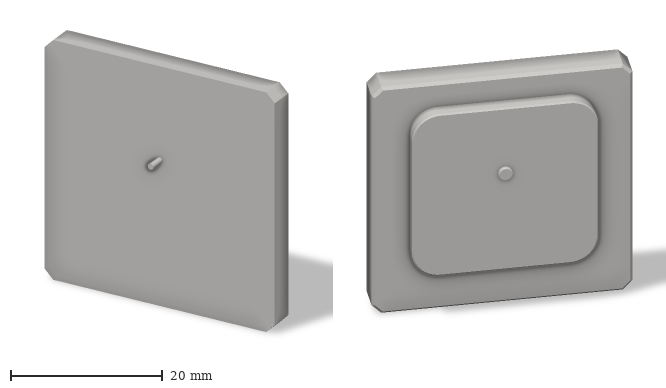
import cadquery as cq

PLATE_SIDE = 35.0
PLATE_THICKNESS = 4.0
PLATE_CORNER_CHAMFER = 1.3
PLATE_BACK_CHAMFER = 0.4

PAD_SIDE = 25.0
PAD_THICKNESS = 2.0
PAD_CORNER_RADIUS = 3.8
PAD_EDGE_CHAMFER = 0.2
PAD_OFFSET_Z = 1.3

PIN_DIAMETER = 0.85
PIN_LENGTH = 2.4
PIN_OFFSET_Z = 3.8
HEAD_DIAMETER = 2.0
HEAD_HEIGHT = 0.5
HEAD_EDGE_FILLET = 0.2

PAD_BACK_Y = PLATE_THICKNESS + PAD_THICKNESS


def plane_facing_back(y, z):
    """Workplane centred at (0, y, z) whose normal points along +Y."""
    return cq.Workplane(cq.Plane(origin=(0, y, z), xDir=(1, 0, 0), normal=(0, 1, 0)))


def make_plate():
    plate = plane_facing_back(0, 0).rect(PLATE_SIDE, PLATE_SIDE).extrude(PLATE_THICKNESS)
    plate = plate.edges("|Y").chamfer(PLATE_CORNER_CHAMFER)
    return plate.faces(">Y").chamfer(PLATE_BACK_CHAMFER)


def make_pad():
    pad = plane_facing_back(PLATE_THICKNESS, PAD_OFFSET_Z).rect(PAD_SIDE, PAD_SIDE).extrude(PAD_THICKNESS)
    pad = pad.edges("|Y").fillet(PAD_CORNER_RADIUS)
    return pad.faces(">Y").edges().chamfer(PAD_EDGE_CHAMFER)


def make_pin():
    return plane_facing_back(0, PIN_OFFSET_Z).circle(PIN_DIAMETER / 2).extrude(-PIN_LENGTH)


def make_pin_head():
    head = plane_facing_back(PAD_BACK_Y, PIN_OFFSET_Z).circle(HEAD_DIAMETER / 2).extrude(HEAD_HEIGHT)
    return head.faces(">Y").edges().fillet(HEAD_EDGE_FILLET)


result = make_plate().union(make_pad()).union(make_pin()).union(make_pin_head())